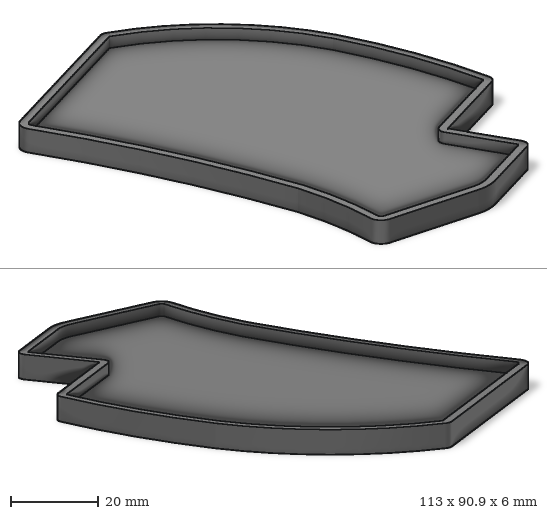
import cadquery as cq
import math

length = 113.0
height = 6.0
floor_thickness = 3.0
wall = 2.1

left_top_y = 71.8
left_bottom_y = 17.2
notch_x = 92.5
notch_y = 52.4
notch_top_y = 81.7
right_bottom_y = 26.8
slant_angle = 59.7
slant_drop = 28.0

crown = (50.1, 90.8)
crown_left_mid = (22.0, 86.1)
crown_right_mid = (72.0, 87.8)
belly = (72.5, 9.5)
belly_left_mid = (39.2, 15.1)
belly_right_mid = (84.0, 5.4)

small_radius = 2.5
bottom_left_radius = 3.4
tip_radius = 3.2
bend_radius = 12.4

slant_run = slant_drop / math.tan(math.radians(slant_angle))
top_left = (0, left_top_y)
top_right = (notch_x, notch_top_y)
shoulder = (length, notch_y)
bend = (length, right_bottom_y)
tip = (length - slant_run, right_bottom_y - slant_drop)
bottom_left = (0, left_bottom_y)

corner_radii = [
    (top_left, small_radius),
    (top_right, small_radius),
    (shoulder, small_radius),
    (bend, bend_radius),
    (tip, tip_radius),
    (bottom_left, bottom_left_radius),
]


def make_plate():
    """Solid plate with every outside corner rounded and the notch corner sharp."""
    plate = (
        cq.Workplane("XY")
        .moveTo(*top_left)
        .threePointArc(crown_left_mid, crown)
        .threePointArc(crown_right_mid, top_right)
        .lineTo(notch_x, notch_y)
        .lineTo(*shoulder)
        .lineTo(*bend)
        .lineTo(*tip)
        .threePointArc(belly_right_mid, belly)
        .threePointArc(belly_left_mid, bottom_left)
        .close()
        .extrude(height)
    )
    for corner, radius in corner_radii:
        nearest = cq.selectors.NearestToPointSelector((*corner, height / 2))
        plate = plate.edges("|Z").edges(nearest).fillet(radius)
    return plate


def make_pocket(plate):
    """Tray cavity, inset from the outline by the wall thickness."""
    outline = plate.faces("<Z").wires().val()
    inset = outline.offset2D(-wall, "arc")
    return (
        cq.Workplane("XY")
        .newObject(inset)
        .toPending()
        .extrude(height)
        .translate((0, 0, floor_thickness))
    )


tray = make_plate()
result = tray.cut(make_pocket(tray))